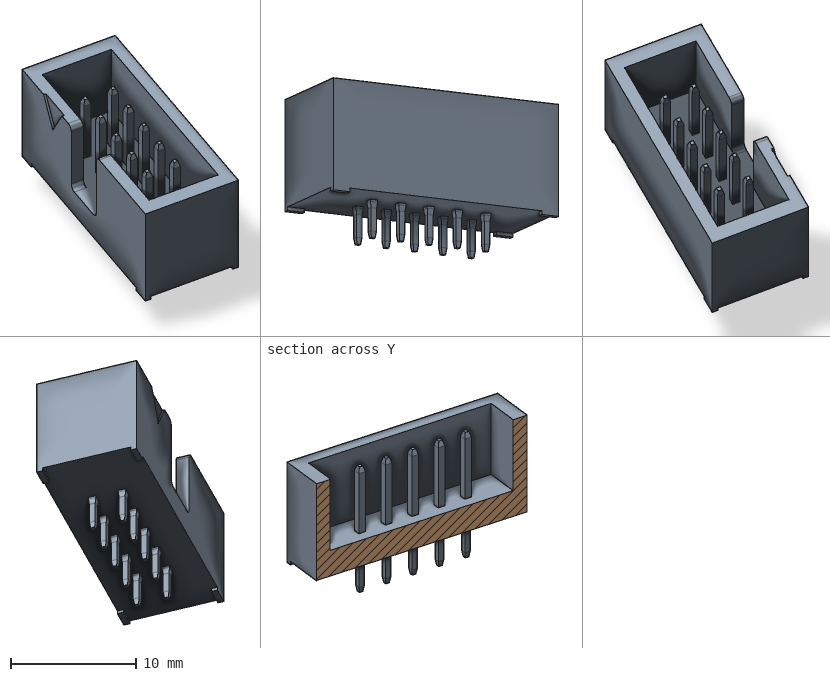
import cadquery as cq
import math


length = 20.2
width = 8.5
height = 9.2
end_wall = 1.35
side_wall = 1.1
cavity_depth = 6.5
floor_z = height - cavity_depth

foot_length = 1.5
foot_width = 0.5
foot_height = 0.3

slot_width = 4.1
slot_radius = 0.5

pitch = 2.54
columns = 5
rows = 2
pin_size = 0.64
tail_size = 0.5
tip_size = 0.33
pin_top_z = height - 0.5
pin_tip_length = 0.5
shoulder_z = 0.12
tail_top_z = -0.38
tail_tip_length = 0.54
pin_bottom_z = -2.8

mark_width = 3.0
mark_height = mark_width * math.sqrt(3) / 2
mark_depth = 0.2
mark_x = -pitch * (columns - 1) / 2

front_y = -width / 2


def make_housing():
    """Open-topped box standing on four corner feet."""
    body = cq.Workplane("XY").workplane(offset=foot_height).rect(length, width)
    body = body.extrude(height - foot_height)
    feet = (
        cq.Workplane("XY")
        .rarray(length - foot_length, width - foot_width, 2, 2)
        .rect(foot_length, foot_width)
        .extrude(foot_height)
    )
    cavity = (
        cq.Workplane("XY")
        .workplane(offset=floor_z)
        .rect(length - 2 * end_wall, width - 2 * side_wall)
        .extrude(cavity_depth)
    )
    return body.union(feet).cut(cavity)


def make_slot():
    """Slot cutter with rounded floor corners and a rounded flare at the rim."""
    half = slot_width / 2
    r = slot_radius
    diagonal = r * (1 - math.sqrt(0.5))
    outline = (
        cq.Workplane("XZ", origin=(0, front_y + side_wall, 0))
        .moveTo(-half - r, height)
        .threePointArc((-half - diagonal, height - diagonal), (-half, height - r))
        .lineTo(-half, floor_z + r)
        .threePointArc((-half + diagonal, floor_z + diagonal), (-half + r, floor_z))
        .lineTo(half - r, floor_z)
        .threePointArc((half - diagonal, floor_z + diagonal), (half, floor_z + r))
        .lineTo(half, height - r)
        .threePointArc((half + diagonal, height - diagonal), (half + r, height))
        .close()
    )
    return outline.extrude(side_wall)


def make_pin_one_mark():
    """Shallow equilateral triangle pointing down from the rim."""
    return (
        cq.Workplane("XZ", origin=(mark_x, front_y + mark_depth, 0))
        .moveTo(-mark_width / 2, height)
        .lineTo(mark_width / 2, height)
        .lineTo(0, height - mark_height)
        .close()
        .extrude(mark_depth)
    )


def square_section(bottom_z, bottom_size, top_z, top_size):
    """Square pin segment, straight or tapered, between two heights."""
    return (
        cq.Workplane("XY")
        .workplane(offset=bottom_z)
        .rect(bottom_size, bottom_size)
        .workplane(offset=top_z - bottom_z)
        .rect(top_size, top_size)
        .loft(ruled=True)
    )


def make_pin():
    """Pin on the Z axis, built from the tail tip up to the mating tip."""
    profile = [
        (pin_bottom_z, tip_size),
        (pin_bottom_z + tail_tip_length, tail_size),
        (tail_top_z, tail_size),
        (shoulder_z, pin_size),
        (pin_top_z - pin_tip_length, pin_size),
        (pin_top_z, tip_size),
    ]
    pin = cq.Workplane("XY")
    for lower, upper in zip(profile, profile[1:]):
        pin = pin.add(square_section(*lower, *upper))
    return pin.combine()


result = make_housing().cut(make_slot()).cut(make_pin_one_mark())

pin = make_pin()
for column in range(columns):
    for row in range(rows):
        pin_x = (column - (columns - 1) / 2) * pitch
        pin_y = (row - (rows - 1) / 2) * pitch
        result = result.union(pin.translate((pin_x, pin_y, 0)))